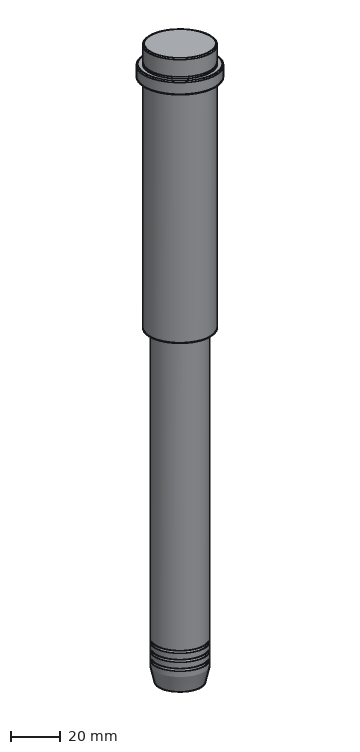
import cadquery as cq

total_length = 280.0
collar_diameter = 35.0
body_diameter = 30.0
shank_diameter = 24.0
nose_tip_diameter = 20.5

nose_length = 7.5
body_bottom = 154.8
collar_bottom = 265.0
collar_top = 271.0

edge_chamfer = 0.5
tip_radius = 0.5

relief_width = 0.8
relief_depth = 0.3

ring_width = 1.0
ring_depth = 0.5
ring_count = 3
ring_pitch = 4.0
lowest_ring_bottom = 10.0


def cylinder(diameter, bottom, top):
    """Solid cylinder on the Z axis between two heights."""
    return cq.Workplane("XY").workplane(offset=bottom).circle(diameter / 2).extrude(top - bottom)


def chamfered_cylinder(diameter, bottom, top):
    """Cylinder with both end edges chamfered."""
    return cylinder(diameter, bottom, top).faces("<Z or >Z").edges().chamfer(edge_chamfer)


def nose():
    """Conical lead-in with a rounded tip edge, widening up to the shank."""
    cone = (
        cq.Workplane("XY")
        .circle(nose_tip_diameter / 2)
        .workplane(offset=nose_length)
        .circle(shank_diameter / 2)
        .loft(ruled=True)
    )
    return cone.faces("<Z").edges().fillet(tip_radius)


def groove(outer_diameter, depth, bottom, width):
    """Ring with an arc-shaped inner side, to remove from a cylinder of the given diameter."""
    rim_radius = outer_diameter / 2
    section = (
        cq.Workplane("XZ")
        .moveTo(rim_radius, bottom)
        .threePointArc((rim_radius - depth, bottom + width / 2), (rim_radius, bottom + width))
        .close()
    )
    return section.revolve(360, (0, 0, 0), (0, 1, 0))


shank = cylinder(shank_diameter, nose_length, body_bottom + edge_chamfer)
for index in range(ring_count):
    ring_bottom = lowest_ring_bottom + index * ring_pitch
    shank = shank.cut(groove(shank_diameter, ring_depth, ring_bottom, ring_width))
shank = shank.cut(groove(shank_diameter, relief_depth, body_bottom - relief_width, relief_width))

body = chamfered_cylinder(body_diameter, body_bottom, total_length)
for relief_bottom in (collar_bottom - relief_width, collar_top):
    body = body.cut(groove(body_diameter, relief_depth, relief_bottom, relief_width))

collar = chamfered_cylinder(collar_diameter, collar_bottom, collar_top)

result = nose().union(shank).union(body).union(collar)